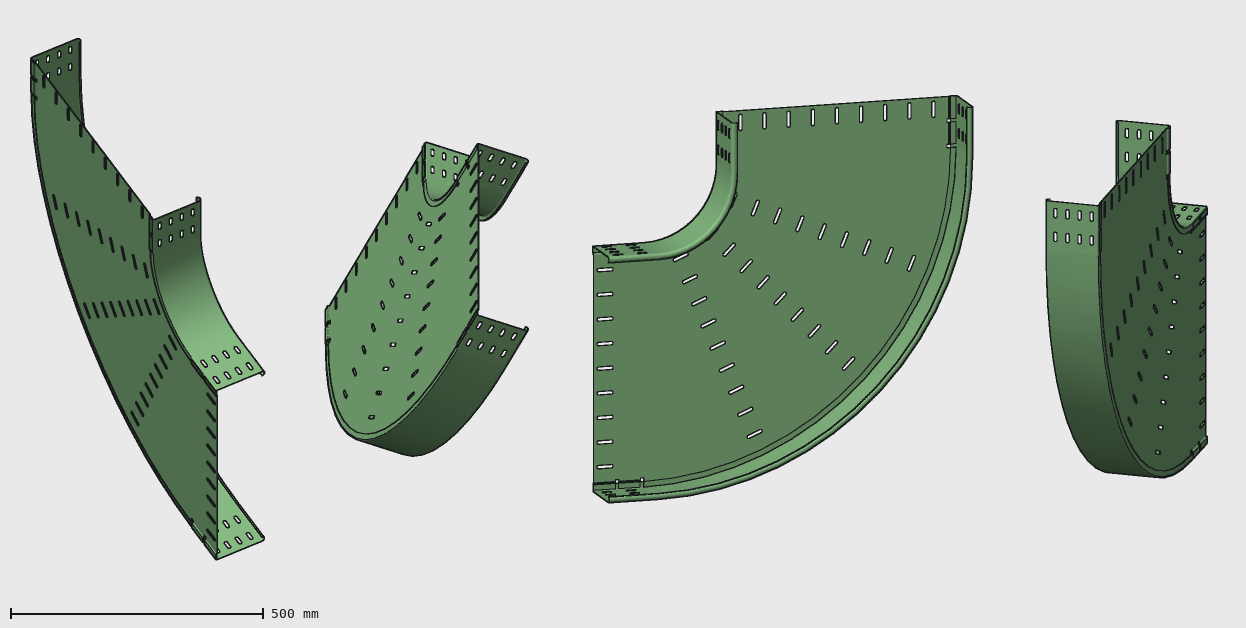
import cadquery as cq
import math


SHEET = 1.5
OUTER_RADIUS = 650.0
TRAY_WIDTH = 500.0
TRAY_DEPTH = 112.0
INNER_ARM = 105.0
OUTER_ARM = 104.0

BASE_BEND = 2.0
FLANGE_WIDTH = 14.0
ROLL_RADIUS = 6.4

FLOOR_INSET = 3.0
JOGGLE_START = 16.0
JOGGLE_INSIDE = 1.0
NOTCH_DEPTH = 22.0
NOTCH_WIDTH = 7.0
NOTCH_STARTS = (0, 51.0)

SLOT_WIDTH = 7.0
FLOOR_SLOT_LENGTH = 33.0
WALL_SLOT_LENGTH = 20.0
SLOT_COUNT = 9
SLOT_PITCH = TRAY_WIDTH / (SLOT_COUNT + 1)
BEND_ROWS = 3
END_INSET = 24.0
WALL_SLOT_PITCH_ALONG = SLOT_PITCH
WALL_SLOT_PITCH_UP = SLOT_PITCH / 2
WALL_SLOT_COLUMNS = 2
WALL_SLOT_ROWS = 4
WALL_SLOT_BASE = 16.0

INNER_RADIUS = OUTER_RADIUS - TRAY_WIDTH
FLANGE_LEVEL = SHEET
FLOOR_LEVEL = FLANGE_LEVEL + SHEET
ROLL_LEVEL = TRAY_DEPTH - ROLL_RADIUS
JOGGLE_END = JOGGLE_START + 2 * JOGGLE_INSIDE + SHEET
END_ROW = OUTER_ARM - END_INSET
MID_RADIUS = (OUTER_RADIUS + INNER_RADIUS) / 2
QUARTER = 90
RAIL_SIDES = ((OUTER_RADIUS, 1), (INNER_RADIUS, -1))
DIAGONAL = math.sqrt(0.5)


def other_arm(shape):
    """Mirror a shape of the +Z arm onto the +X arm."""
    return shape.mirror(cq.Vector(1, 0, -1))


def quarter_turn(section):
    """Revolve a section of the XY plane around the bend, from the +Z arm to the +X arm."""
    return section.revolve(QUARTER, (0, 0, 0), (0, -1, 0))


def slot_cutter(length, depth):
    """Round-ended slot centred on the origin, long side along Z and cutting along Y."""
    return cq.Workplane("XZ").slot2D(length, SLOT_WIDTH, QUARTER).extrude(depth, both=True)


def rail_section(radius, inward):
    """Section of a rail: base flange, wall and half-round roll; inward is the X sign of the tray side."""

    def at(distance, level):
        return (-radius + inward * distance, level)

    bend_inside = BASE_BEND - SHEET
    bend_axis = FLANGE_LEVEL + BASE_BEND
    return (
        cq.Workplane("XY")
        .moveTo(*at(FLANGE_WIDTH, FLANGE_LEVEL))
        .lineTo(*at(BASE_BEND, FLANGE_LEVEL))
        .threePointArc(
            at(BASE_BEND * (1 - DIAGONAL), bend_axis - BASE_BEND * DIAGONAL),
            at(0, bend_axis),
        )
        .lineTo(*at(0, ROLL_LEVEL))
        .threePointArc(at(ROLL_RADIUS, TRAY_DEPTH), at(2 * ROLL_RADIUS, ROLL_LEVEL))
        .lineTo(*at(2 * ROLL_RADIUS - SHEET, ROLL_LEVEL))
        .threePointArc(at(ROLL_RADIUS, TRAY_DEPTH - SHEET), at(SHEET, ROLL_LEVEL))
        .lineTo(*at(SHEET, bend_axis))
        .threePointArc(
            at(BASE_BEND - bend_inside * DIAGONAL, bend_axis - bend_inside * DIAGONAL),
            at(BASE_BEND, bend_axis - bend_inside),
        )
        .lineTo(*at(FLANGE_WIDTH, bend_axis - bend_inside))
        .close()
    )


def wall_slots(radius):
    """Grid of slots through a rail wall at the end of the +Z arm."""
    slot = slot_cutter(WALL_SLOT_LENGTH, 2 * SHEET).rotate((0, 0, 0), (0, 0, 1), 90)
    cutters = cq.Workplane("XY")
    for column in range(WALL_SLOT_COLUMNS):
        for row in range(WALL_SLOT_ROWS):
            along = END_ROW - column * WALL_SLOT_PITCH_ALONG
            level = WALL_SLOT_BASE + row * WALL_SLOT_PITCH_UP
            cutters = cutters.add(slot.translate((-radius, level, along)))
    return cutters.combine()


def make_rail(radius, inward, arm_length):
    arm = rail_section(radius, inward).extrude(arm_length).cut(wall_slots(radius))
    bend = quarter_turn(rail_section(radius, inward))
    return bend.union(arm).union(other_arm(arm)).solids()


def floor_section(width):
    """Flat section of the floor, midway between the rails."""
    middle = (-MID_RADIUS, FLOOR_LEVEL + SHEET / 2)
    return cq.Workplane("XY").pushPoints([middle]).rect(width, SHEET)


def tongue_strip(radius, inward):
    """Edge strip of the +Z floor arm: a flat tongue and the S-bend that lifts it to the floor."""
    outside = JOGGLE_INSIDE + SHEET

    def at(distance, level):
        return (-radius + inward * distance, level)

    def on_lower_bend(bend_radius):
        return at(JOGGLE_START + bend_radius * DIAGONAL, outside - bend_radius * DIAGONAL)

    def on_upper_bend(bend_radius):
        return at(JOGGLE_END - bend_radius * DIAGONAL, outside + bend_radius * DIAGONAL)

    return (
        cq.Workplane("XY")
        .moveTo(*at(FLOOR_INSET, 0))
        .lineTo(*at(JOGGLE_START, 0))
        .threePointArc(on_lower_bend(outside), at(JOGGLE_START + outside, outside))
        .threePointArc(on_upper_bend(JOGGLE_INSIDE), at(JOGGLE_END, FLOOR_LEVEL))
        .lineTo(*at(JOGGLE_END, FLOOR_LEVEL + SHEET))
        .threePointArc(on_upper_bend(outside), at(JOGGLE_START + JOGGLE_INSIDE, outside))
        .threePointArc(on_lower_bend(JOGGLE_INSIDE), at(JOGGLE_START, SHEET))
        .lineTo(*at(FLOOR_INSET, SHEET))
        .close()
        .extrude(OUTER_ARM)
    )


def floor_arm():
    """Straight end of the floor, stepped down along both sides and notched into separate tongues."""
    flat_width = TRAY_WIDTH - 2 * JOGGLE_END
    arm = floor_section(flat_width).extrude(OUTER_ARM)
    for radius, inward in RAIL_SIDES:
        arm = arm.union(tongue_strip(radius, inward))
    for start in NOTCH_STARTS:
        for radius, _ in RAIL_SIDES:
            notch = cq.Workplane("XY").box(2 * NOTCH_DEPTH, TRAY_DEPTH, NOTCH_WIDTH)
            arm = arm.cut(notch.translate((-radius, 0, start + NOTCH_WIDTH / 2)))
    end_slot = slot_cutter(FLOOR_SLOT_LENGTH, TRAY_DEPTH)
    for index in range(SLOT_COUNT):
        radius = INNER_RADIUS + (index + 1) * SLOT_PITCH
        arm = arm.cut(end_slot.translate((-radius, 0, END_ROW)))
    return arm


def floor_bend():
    """Curved part of the floor with evenly turned rows of slots."""
    width = TRAY_WIDTH - 2 * FLOOR_INSET
    bend = quarter_turn(floor_section(width))
    for row in range(BEND_ROWS):
        angle = -(row + 1) * QUARTER / (BEND_ROWS + 1)
        for index in range(SLOT_COUNT):
            radius = INNER_RADIUS + (index + 1) * SLOT_PITCH
            slot = slot_cutter(FLOOR_SLOT_LENGTH, TRAY_DEPTH).translate((-radius, 0, 0))
            bend = bend.cut(slot.rotate((0, 0, 0), (0, 1, 0), angle))
    return bend


def make_floor():
    arm = floor_arm()
    return floor_bend().union(arm).union(other_arm(arm)).solids()


floor = make_floor()
outer_rail = make_rail(OUTER_RADIUS, 1, OUTER_ARM)
inner_rail = make_rail(INNER_RADIUS, -1, INNER_ARM)

result = cq.Compound.makeCompound([floor.val(), outer_rail.val(), inner_rail.val()])